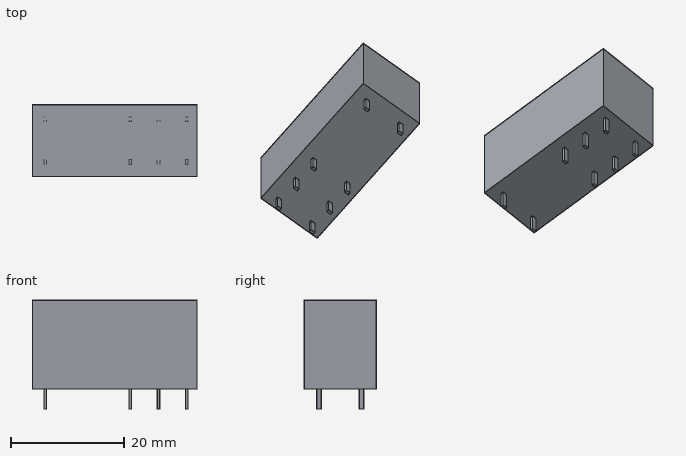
import cadquery as cq

body_length = 29.0
body_width = 12.7
body_height = 15.7

pin_length = 3.5
pin_thickness = 0.5
pin_width = 0.85
pin_pitch = 5.0
row_spacing = 7.5
first_pin_inset = 2.25
pin_steps = (0, 3, 4, 5)


def make_body():
    return cq.Workplane("XY").box(body_length, body_width, body_height, centered=(True, True, False))


def make_pins():
    first_pin_x = first_pin_inset - body_length / 2
    centres = [
        (first_pin_x + step * pin_pitch, side * row_spacing / 2)
        for side in (-1, 1)
        for step in pin_steps
    ]
    return cq.Workplane("XY").pushPoints(centres).rect(pin_thickness, pin_width).extrude(-pin_length)


result = make_body().union(make_pins())